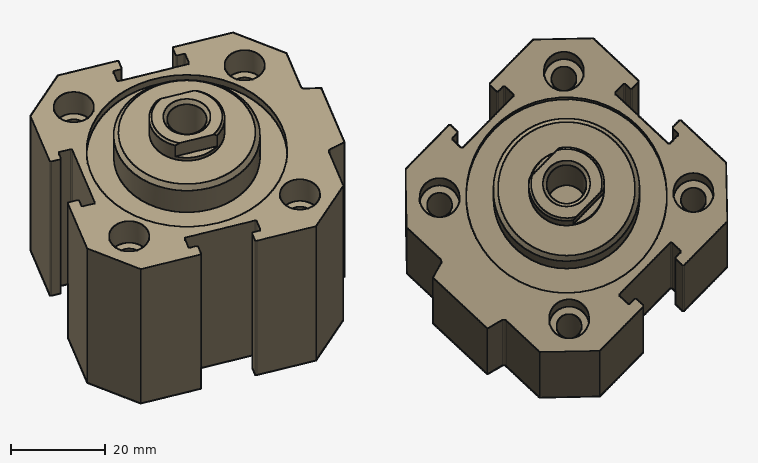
import cadquery as cq
import math

body_width = 57.0
half_width = body_width / 2
body_height = 43.5
corner_chamfer = 9.0

slot_opening = 12.0
slot_inner_width = 16.0
slot_lip = 2.5
slot_depth = 5.5
slot_corner_radius = 0.3
slot_side_angles = (0, 90, 270)

rail_height = 4.0
rail_top_width = 16.0
rail_flank_angle = 15.0
rail_root_radius = 0.7

hole_pitch = 38.0
hole_diameter = 5.3
counterbore_diameter = 8.5
counterbore_depth = 7.0

recess_diameter = 42.5
recess_depth = 2.0
collar_diameter = 31.0
collar_height = 6.0
collar_chamfer = 1.0

rod_diameter = 16.0
rod_top = 54.5
rod_length = 30.0
rod_chamfer = 0.5
flat_width = 13.0
flat_length = 4.0
thread_bore_diameter = 8.38
thread_bore_depth = 20.0
thread_countersink_diameter = 10.0

rod_bottom = rod_top - rod_length
recess_floor = body_height - recess_depth
collar_top = body_height + collar_height


def cylinder(diameter, bottom, top):
    """Upright cylinder on the rod axis."""
    return cq.Workplane("XY").workplane(offset=bottom).circle(diameter / 2).extrude(top - bottom)


def make_block():
    """Square block with chamfered corners and the tapered rail."""
    block = (
        cq.Workplane("XY")
        .rect(body_width, body_width)
        .extrude(body_height)
        .edges("|Z")
        .chamfer(corner_chamfer)
    )
    root_half = rail_top_width / 2 + rail_height * math.tan(math.radians(rail_flank_angle))
    top_half = rail_top_width / 2
    rail_top = half_width + rail_height
    rail = (
        cq.Workplane("XY")
        .polyline([
            (-root_half, 0),
            (-root_half, half_width),
            (-top_half, rail_top),
            (top_half, rail_top),
            (root_half, half_width),
            (root_half, 0),
        ])
        .close()
        .extrude(body_height)
    )
    margin = rail_root_radius
    near_root = cq.selectors.BoxSelector(
        (-root_half - margin, half_width - margin, 0),
        (root_half + margin, half_width + margin, body_height),
    )
    return block.union(rail).edges("|Z").edges(near_root).fillet(rail_root_radius)


def make_t_slot():
    """Full-height T-slot cutter on the -Y side, with rounded corners."""
    outer_y = -half_width
    lip_y = outer_y + slot_lip
    floor_y = outer_y + slot_depth
    opening_half = slot_opening / 2
    inner_half = slot_inner_width / 2
    r = slot_corner_radius
    shift = r * (1 - math.sqrt(0.5))
    right_half = (
        cq.Workplane("XY")
        .moveTo(0, outer_y)
        .lineTo(opening_half + r, outer_y)
        .threePointArc((opening_half + shift, outer_y + shift), (opening_half, outer_y + r))
        .lineTo(opening_half, lip_y - r)
        .threePointArc((opening_half + shift, lip_y - shift), (opening_half + r, lip_y))
        .lineTo(inner_half - r, lip_y)
        .threePointArc((inner_half - shift, lip_y + shift), (inner_half, lip_y + r))
        .lineTo(inner_half, floor_y - r)
        .threePointArc((inner_half - shift, floor_y - shift), (inner_half - r, floor_y))
        .lineTo(0, floor_y)
        .close()
        .extrude(body_height)
    )
    return right_half.union(right_half.mirror("YZ"))


def make_housing():
    """Housing with its guide collar, bored to carry the rod."""
    housing = make_block()
    for angle in slot_side_angles:
        housing = housing.cut(make_t_slot().rotate((0, 0, 0), (0, 0, 1), angle))
    housing = (
        housing.faces(">Z")
        .workplane(origin=(0, 0, body_height))
        .rect(hole_pitch, hole_pitch, forConstruction=True)
        .vertices()
        .cboreHole(hole_diameter, counterbore_diameter, counterbore_depth)
    )
    recess = cylinder(recess_diameter, recess_floor, body_height)
    collar = cylinder(collar_diameter, recess_floor, collar_top).faces(">Z").chamfer(collar_chamfer)
    rod_bore = cylinder(rod_diameter, rod_bottom, rod_top)
    return housing.cut(recess).union(collar).cut(rod_bore)


def make_rod():
    """Piston rod with two wrench flats and a countersunk thread bore."""
    rod = cylinder(rod_diameter, rod_bottom, rod_top).faces(">Z").chamfer(rod_chamfer)
    flat_cut = (rod_diameter - flat_width) / 2
    for side in (-1, 1):
        flat = (
            cq.Workplane("XY")
            .box(flat_cut, rod_diameter, flat_length, centered=(True, True, False))
            .translate((side * (flat_width + flat_cut) / 2, 0, rod_top - flat_length))
        )
        rod = rod.cut(flat)
    rod = rod.cut(cylinder(thread_bore_diameter, rod_top - thread_bore_depth, rod_top))
    countersink_size = (thread_countersink_diameter - thread_bore_diameter) / 2
    countersink = cq.Workplane(cq.Solid.makeCone(
        thread_bore_diameter / 2,
        thread_countersink_diameter / 2,
        countersink_size,
        pnt=cq.Vector(0, 0, rod_top - countersink_size),
    ))
    return rod.cut(countersink)


housing = make_housing()
rod = make_rod()

result = cq.Compound.makeCompound([housing.val(), rod.val()])